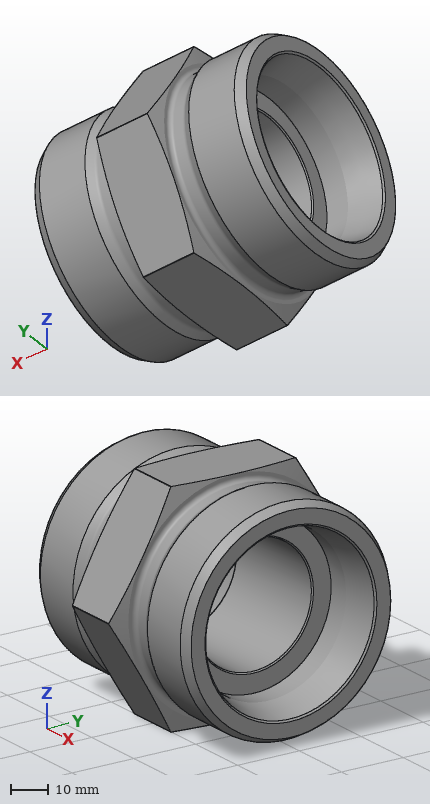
import cadquery as cq
import math

length = 72.0
hex_across_flats = 70.0
hex_corner_diameter = 80.7
hex_width = 20.2
hex_face_radius = 34.9
hex_chamfer_angle = 15.0

thread_diameter = 68.0
relief_diameter = 64.9
thread_end = 18.3
bevel_angle = 30.0
end_bevel_length = 2.8
relief_fillet = 1.9
hex_root_fillet = 1.4

bore_diameter = 38.0
bore_edge_chamfer = 0.4
socket_diameter = 50.3
socket_depth = 17.75
cone_angle = 12.0
cone_mouth_radius = 27.3
mouth_radius = 27.85
mouth_chamfer_length = 0.5

half_length = length / 2
half_hex = hex_width / 2
thread_radius = thread_diameter / 2
relief_radius = relief_diameter / 2
bore_radius = bore_diameter / 2
socket_radius = socket_diameter / 2


def slope(angle):
    return math.tan(math.radians(angle))


def revolve_about_x(profile):
    return profile.close().revolve(360, (0, 0, 0), (1, 0, 0))


def make_hex():
    """Hexagon with corners on +Y and -Y, turned to a cylinder and a cone on each side."""
    sharp_corner_diameter = hex_across_flats / math.cos(math.radians(30))
    corner_radius = hex_corner_diameter / 2
    blank = (
        cq.Workplane("YZ")
        .polygon(6, sharp_corner_diameter)
        .extrude(half_hex, both=True)
    )
    chamfer_length = (corner_radius - hex_face_radius) * slope(hex_chamfer_angle)
    envelope = revolve_about_x(
        cq.Workplane("XY")
        .moveTo(-half_hex, 0)
        .lineTo(-half_hex, hex_face_radius)
        .lineTo(-half_hex + chamfer_length, corner_radius)
        .lineTo(half_hex - chamfer_length, corner_radius)
        .lineTo(half_hex, hex_face_radius)
        .lineTo(half_hex, 0)
    )
    return blank.intersect(envelope)


def make_stub():
    """Bevelled thread blank and filleted relief groove on the -X side."""
    end_radius = thread_radius - end_bevel_length * slope(bevel_angle)
    thread_x = -half_length + thread_end
    relief_x = thread_x + (thread_radius - relief_radius) / slope(bevel_angle)

    bevel = math.radians(bevel_angle)
    tangent = relief_fillet * math.tan(bevel / 2)
    fillet_start = (relief_x - tangent * math.cos(bevel), relief_radius + tangent * math.sin(bevel))
    fillet_middle = (
        relief_x + tangent - relief_fillet * math.sin(bevel / 2),
        relief_radius + relief_fillet * (1 - math.cos(bevel / 2)),
    )
    fillet_end = (relief_x + tangent, relief_radius)

    root_middle = (
        -half_hex - hex_root_fillet * (1 - math.sqrt(0.5)),
        relief_radius + hex_root_fillet * (1 - math.sqrt(0.5)),
    )
    return revolve_about_x(
        cq.Workplane("XY")
        .moveTo(-half_length, 0)
        .lineTo(-half_length, end_radius)
        .lineTo(-half_length + end_bevel_length, thread_radius)
        .lineTo(thread_x, thread_radius)
        .lineTo(*fillet_start)
        .threePointArc(fillet_middle, fillet_end)
        .lineTo(-half_hex - hex_root_fillet, relief_radius)
        .threePointArc(root_middle, (-half_hex, relief_radius + hex_root_fillet))
        .lineTo(0, relief_radius + hex_root_fillet)
        .lineTo(0, 0)
    )


def make_bore():
    """Conical mouth, straight socket and through bore of the -X half."""
    cone_start = -half_length + mouth_chamfer_length
    cone_end = cone_start + (cone_mouth_radius - socket_radius) / slope(cone_angle)
    floor_x = -half_length + socket_depth
    return revolve_about_x(
        cq.Workplane("XY")
        .moveTo(-half_length, 0)
        .lineTo(-half_length, mouth_radius)
        .lineTo(cone_start, cone_mouth_radius)
        .lineTo(cone_end, socket_radius)
        .lineTo(floor_x, socket_radius)
        .lineTo(floor_x, bore_radius + bore_edge_chamfer)
        .lineTo(floor_x + bore_edge_chamfer, bore_radius)
        .lineTo(0, bore_radius)
        .lineTo(0, 0)
    )


def with_mirror(half):
    return half.union(half.mirror("YZ"))


result = make_hex().union(with_mirror(make_stub())).cut(with_mirror(make_bore()))